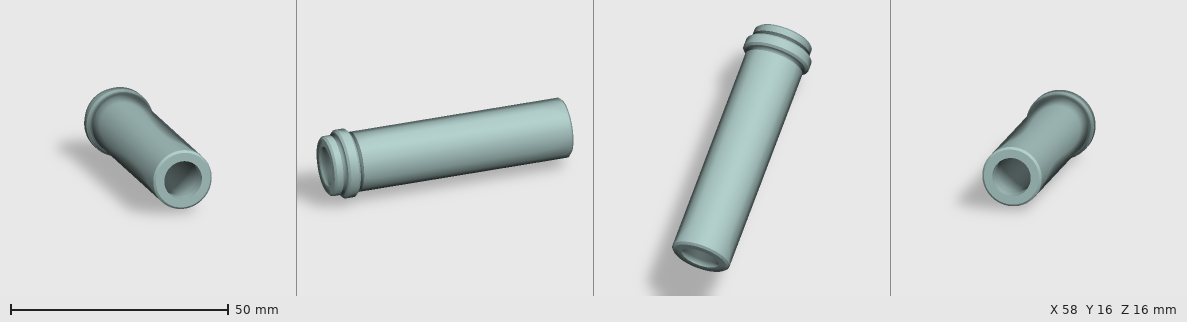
import cadquery as cq

length = 58.0
body_diameter = 14.0
bore_diameter = 9.0
end_chamfer = 0.5
bore_mouth_chamfer = 0.2

collar_diameter = 16.0
collar_width = 3.0
collar_chamfer = 0.5
collar_start = 3.0
groove_radius = 0.5

collar_end = collar_start + collar_width
body_radius = body_diameter / 2
start_x = -length / 2


def cylinder(diameter, first, last):
    """Cylinder on the X axis between two distances from the -X end."""
    base = cq.Workplane("YZ", origin=(start_x + first, 0, 0))
    return base.circle(diameter / 2).extrude(last - first)


def groove(center):
    """Ring that cuts a half-round groove into the body surface."""
    profile = cq.Workplane("XY").center(start_x + center, body_radius).circle(groove_radius)
    return profile.revolve(360, (0, -body_radius, 0), (1, -body_radius, 0))


def body():
    return cylinder(body_diameter, 0, length).faces("<X or >X").chamfer(end_chamfer)


def collar():
    return cylinder(collar_diameter, collar_start, collar_end).faces("<X or >X").chamfer(collar_chamfer)


def bore_mouth():
    """Cone that breaks the bore edge at the -X end."""
    mouth = cq.Solid.makeCone(
        bore_diameter / 2 + bore_mouth_chamfer,
        bore_diameter / 2,
        bore_mouth_chamfer,
        cq.Vector(start_x, 0, 0),
        cq.Vector(1, 0, 0),
    )
    return cq.Workplane(mouth)


result = body()
for groove_center in (collar_start - groove_radius, collar_end + groove_radius):
    result = result.cut(groove(groove_center))
result = result.union(collar())
result = result.cut(cylinder(bore_diameter, 0, length))
result = result.cut(bore_mouth())